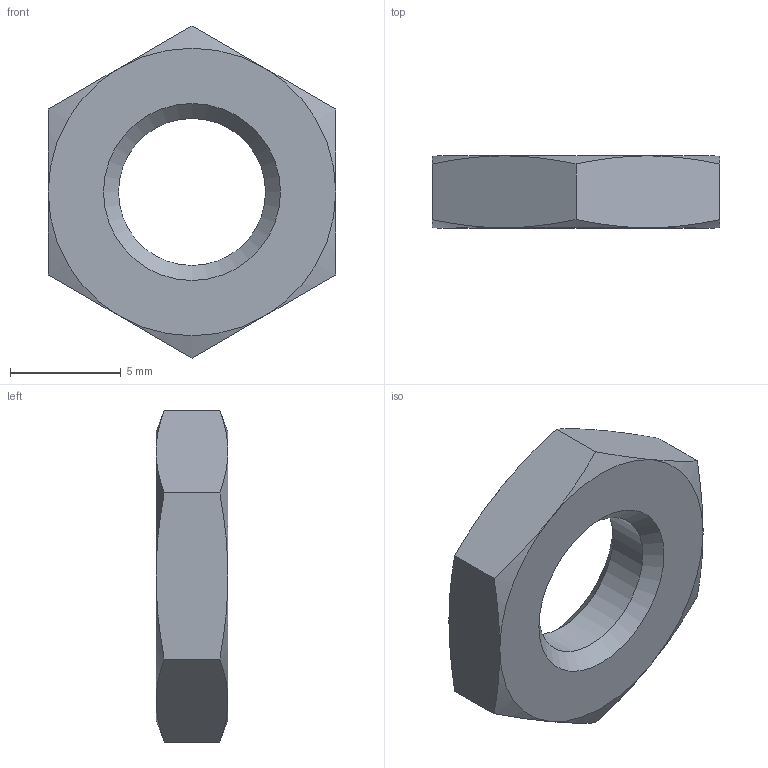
import cadquery as cq
import math

side_count = 6
first_corner_angle = 90.0
across_flats = 13.0
thickness = 3.25
bore_diameter = 6.65
countersink_diameter = 8.0
countersink_half_angle = 45.0
corner_chamfer_angle = 20.0

flat_radius = across_flats / 2
corner_radius = flat_radius / math.cos(math.pi / side_count)
bore_radius = bore_diameter / 2
countersink_radius = countersink_diameter / 2
half_thickness = thickness / 2

chamfer_depth = (corner_radius - flat_radius) * math.tan(math.radians(corner_chamfer_angle))
countersink_depth = (countersink_radius - bore_radius) / math.tan(math.radians(countersink_half_angle))


def hexagon_blank():
    """Plain hexagonal prism, centred along Y."""
    corners = []
    for index in range(side_count):
        angle = math.radians(first_corner_angle + index * 360 / side_count)
        corners.append((corner_radius * math.cos(angle), corner_radius * math.sin(angle)))
    return cq.Workplane("XZ").polyline(corners).close().extrude(half_thickness, both=True)


def turned_envelope():
    """Ring with coned outer corners and a bore countersunk at both ends."""
    cone_edge_y = half_thickness - chamfer_depth
    bore_edge_y = half_thickness - countersink_depth
    profile = [
        (bore_radius, -bore_edge_y),
        (countersink_radius, -half_thickness),
        (flat_radius, -half_thickness),
        (corner_radius, -cone_edge_y),
        (corner_radius, cone_edge_y),
        (flat_radius, half_thickness),
        (countersink_radius, half_thickness),
        (bore_radius, bore_edge_y),
    ]
    axis_start = (0, 0)
    axis_end = (0, 1)
    return cq.Workplane("XY").polyline(profile).close().revolve(360, axis_start, axis_end)


result = hexagon_blank().intersect(turned_envelope())